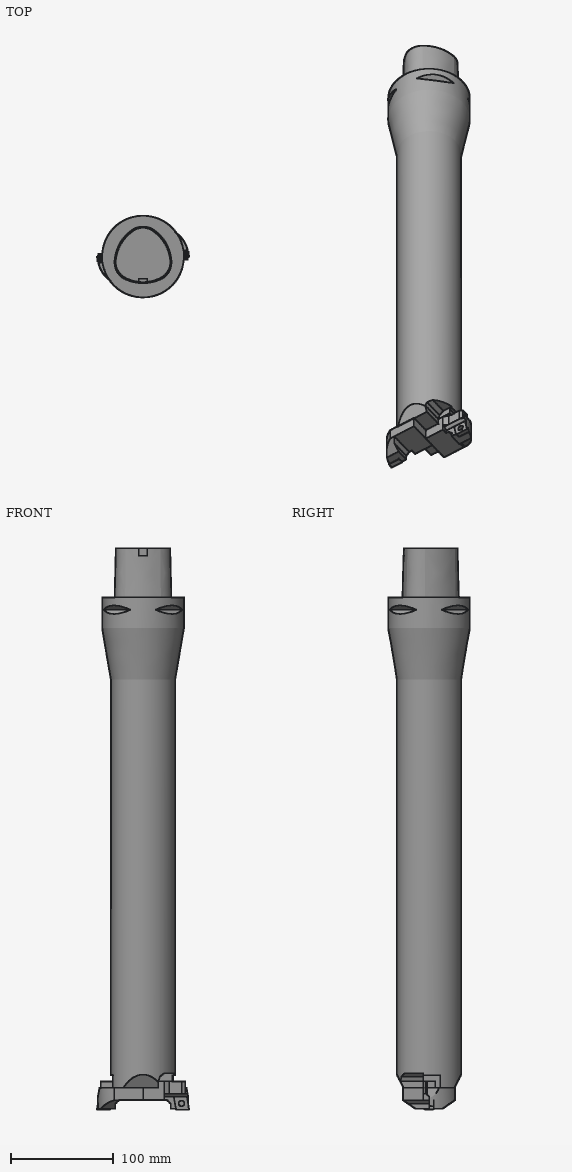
import cadquery as cq
import math


flange_diameter = 80.0
flange_height = 30.0
cone_end_z = -80.0
bar_diameter = 63.0
tip_z = -500.0
bar_end_z = -478.5

shank_height = 48.0
shank_taper = math.degrees(math.atan(1 / 40))
lobe_radius = 29.3
flank_radius = 26.0
seam_radius = 28.1
seam_angle = 21.7
lobe_spacing = 120.0
lobe_angles = [90 + lobe_spacing * i for i in range(3)]
mark_width = 8.0
mark_height = 7.5
mark_floor_y = -21.8

groove_angles = (45, 135, 225, 315)
groove_z = -12.0
groove_apex_radius = 35.6
groove_rim_half_height = 4.2

side_seat_x = 28.5
side_seat_y = 11.0
side_seat_top_z = -466.0
chip_pocket_x = 15.0
chip_pocket_y = -5.5
chip_pocket_top_z = -464.0
chip_pocket_knee = (16.5, -467.5)
chip_pocket_roof_x = 21.0
end_chamfer_z = -465.5
end_chamfer_y = 24.9

slide_half_width = 25.5
slide_bridge_z = -490.5
slide_end_z = -499.0
leg_inner_x = 27.0
leg_bevel = 3.5
lug_top_z = -472.0
lug_x = 41.3
lug_back_y = 6.0
shoulder_x = 42.5
leg_outer_x = 44.3
leg_flare_z = -488.0
relief_radius = 28.3
end_bevel_y = 13.0
gullet_x = 20.5
gullet_face_y = -3.0
gullet_face_x = (25.5, 38.0)
gullet_corner_y = -1.8
gullet_slope_top_z = -484.0
gullet_slope_end_z = -487.0

tip_x = 44.99
insert_circle = 12.7
insert_angle = 80.0
insert_thickness = 4.76
insert_relief = 7.0
insert_nose = 0.8
insert_hole_diameter = 5.5

margin = 10.0
flange_radius = flange_diameter / 2
bar_radius = bar_diameter / 2


def box_between(x_range, y_range, z_range):
    """Box spanning three (low, high) ranges."""
    lows, highs = zip(x_range, y_range, z_range)
    size = [high - low for low, high in zip(lows, highs)]
    return cq.Workplane("XY").box(*size, centered=False).translate(lows)


def half_turn(shape):
    """Copy of a shape on the opposite side of the bar axis."""
    return shape.rotate((0, 0, 0), (0, 0, 1), 180)


def polar(radius, degrees):
    angle = math.radians(degrees)
    return (radius * math.cos(angle), radius * math.sin(angle))


def make_shank():
    outline = cq.Workplane("XY").moveTo(*polar(seam_radius, lobe_angles[0] - seam_angle))
    for angle in lobe_angles:
        outline = outline.threePointArc(
            polar(lobe_radius, angle), polar(seam_radius, angle + seam_angle)
        )
        outline = outline.threePointArc(
            polar(flank_radius, angle + lobe_spacing / 2),
            polar(seam_radius, angle + lobe_spacing - seam_angle),
        )
    shank = outline.close().extrude(shank_height, taper=shank_taper)
    mark = box_between(
        (-mark_width / 2, mark_width / 2),
        (-flank_radius - margin, mark_floor_y),
        (shank_height - mark_height, shank_height + margin),
    )
    return shank.cut(mark)


def make_groove(angle):
    """V-shaped straight groove across the flange."""
    depth = flange_radius - groove_apex_radius
    cutter_depth = 2 * depth
    cutter_half_height = groove_rim_half_height * cutter_depth / depth
    cutter_radius = groove_apex_radius + cutter_depth
    return (
        cq.Workplane("XZ")
        .polyline([
            (groove_apex_radius, groove_z),
            (cutter_radius, groove_z + cutter_half_height),
            (cutter_radius, groove_z - cutter_half_height),
        ])
        .close()
        .extrude(flange_radius, both=True)
        .rotate((0, 0, 0), (0, 0, 1), angle)
    )


def make_end_chamfer():
    """Wedge that slopes the -Y side of the lower end."""
    slope = (bar_radius - end_chamfer_y) / (end_chamfer_z - bar_end_z)
    low_z = bar_end_z - margin
    return (
        cq.Workplane("YZ")
        .polyline([
            (-bar_radius, end_chamfer_z),
            (-bar_radius + slope * (end_chamfer_z - low_z), low_z),
            (-bar_radius - margin, low_z),
            (-bar_radius - margin, end_chamfer_z),
        ])
        .close()
        .extrude(bar_radius + margin, both=True)
    )


def make_bar():
    bar = (
        cq.Workplane("XZ")
        .polyline([
            (0, 0),
            (flange_radius, 0),
            (flange_radius, -flange_height),
            (bar_radius, cone_end_z),
            (bar_radius, bar_end_z),
            (0, bar_end_z),
        ])
        .close()
        .revolve(360, (0, 0, 0), (0, 1, 0))
    )
    bar = bar.union(make_shank())
    for angle in groove_angles:
        bar = bar.cut(make_groove(angle))

    far = bar_radius + margin
    side_seat = box_between(
        (side_seat_x, far), (-far, side_seat_y), (bar_end_z - margin, side_seat_top_z)
    )
    chip_pocket = (
        cq.Workplane("XZ", origin=(0, chip_pocket_y, 0))
        .polyline([
            (chip_pocket_x, bar_end_z - margin),
            (chip_pocket_x, lug_top_z),
            chip_pocket_knee,
            (chip_pocket_roof_x, chip_pocket_top_z),
            (far, chip_pocket_top_z),
            (far, bar_end_z - margin),
        ])
        .close()
        .extrude(far)
    )
    lug_seat = box_between(
        (chip_pocket_x, far), (chip_pocket_y, lug_back_y), (bar_end_z - margin, lug_top_z)
    )
    for cutter in (side_seat, chip_pocket, lug_seat, make_end_chamfer()):
        bar = bar.cut(cutter).cut(half_turn(cutter))
    return bar


def make_insert():
    side = insert_circle / math.sin(math.radians(insert_angle))
    nose_setback = insert_nose * (1 / math.tan(math.radians(insert_angle / 2)) - 1)
    corner_x = tip_x + nose_setback
    lean_x, rise = polar(side, insert_angle)
    corners = [
        (corner_x, tip_z),
        (corner_x - lean_x, tip_z + rise),
        (corner_x - lean_x - side, tip_z + rise),
        (corner_x - side, tip_z),
    ]
    center = ((corners[0][0] + corners[2][0]) / 2, tip_z + rise / 2)
    outline = cq.Sketch().polygon(corners + corners[:1]).vertices().fillet(insert_nose)
    blank = cq.Workplane("XZ").placeSketch(outline).extrude(-insert_thickness, taper=insert_relief)
    hole = (
        cq.Workplane("XZ")
        .center(*center)
        .circle(insert_hole_diameter / 2)
        .extrude(-insert_thickness)
    )
    return blank, blank.cut(hole)


def make_slide(insert_blank):
    slide = (
        cq.Workplane("XZ")
        .polyline([
            (0, slide_bridge_z),
            (0, bar_end_z),
            (chip_pocket_x, bar_end_z),
            (chip_pocket_x, lug_top_z),
            (lug_x, lug_top_z),
            (lug_x, bar_end_z),
            (shoulder_x, bar_end_z),
            (leg_outer_x, leg_flare_z),
            (leg_outer_x, slide_end_z),
            (leg_inner_x, slide_end_z),
            (leg_inner_x, slide_bridge_z - leg_bevel),
            (leg_inner_x - leg_bevel, slide_bridge_z),
        ])
        .close()
        .extrude(slide_half_width, both=True)
    )
    end_outline = (
        cq.Workplane("YZ")
        .polyline([
            (-slide_half_width, lug_top_z),
            (slide_half_width, lug_top_z),
            (slide_half_width, slide_bridge_z),
            (end_bevel_y, slide_end_z),
            (-end_bevel_y, slide_end_z),
            (-slide_half_width, slide_bridge_z),
        ])
        .close()
        .extrude(leg_outer_x)
    )
    relief_x = leg_outer_x - relief_radius
    rounded = (
        cq.Workplane("XY", origin=(relief_x, 0, slide_end_z))
        .circle(relief_radius)
        .extrude(lug_top_z - slide_end_z)
        .union(box_between(
            (0, relief_x), (-relief_radius, relief_radius), (slide_end_z, lug_top_z)
        ))
    )
    slide = slide.intersect(end_outline).intersect(rounded)

    far = leg_outer_x + margin
    slide = slide.cut(box_between(
        (-margin, far), (-far, chip_pocket_y), (slide_end_z - margin, lug_top_z + margin)
    ))
    slide = slide.cut(box_between((0, far), (lug_back_y, far), (bar_end_z, lug_top_z + margin)))

    upper_gullet = (
        cq.Workplane("XY", origin=(0, 0, gullet_slope_top_z))
        .polyline([
            (gullet_x, chip_pocket_y),
            (gullet_face_x[0], gullet_face_y),
            (gullet_face_x[1], gullet_face_y),
            (lug_x, gullet_corner_y),
            (far, gullet_corner_y),
            (far, chip_pocket_y),
        ])
        .close()
        .extrude(lug_top_z - gullet_slope_top_z)
    )
    lower_gullet = (
        cq.Workplane("YZ", origin=(gullet_x, 0, 0))
        .polyline([
            (chip_pocket_y, gullet_slope_top_z),
            (gullet_face_y, gullet_slope_top_z),
            (0, gullet_slope_end_z),
            (0, slide_end_z),
            (chip_pocket_y, slide_end_z),
        ])
        .close()
        .extrude(far)
    )
    return slide.cut(upper_gullet).cut(lower_gullet).cut(insert_blank)


bar = make_bar()
insert_blank, insert = make_insert()
slide = make_slide(insert_blank)

result = cq.Compound.makeCompound([
    bar.val(),
    slide.val(),
    half_turn(slide).val(),
    insert.val(),
    half_turn(insert).val(),
])